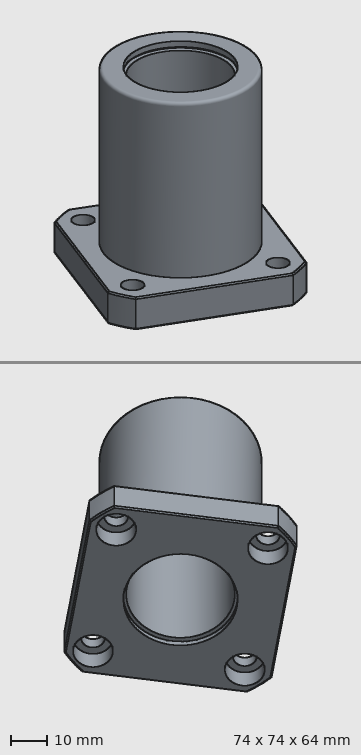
import cadquery as cq

total_height = 64.0
flange_diameter = 73.95
flange_side = 58.0
flange_thickness = 10.0
flange_chamfer = 0.45

sleeve_diameter = 44.95
sleeve_rim_fillet = 1.0
bore_diameter = 30.0
mouth_diameter = 31.6
mouth_depth = 1.8
groove_diameter = 33.2
groove_width = 0.75

hole_diameter = 6.6
counterbore_diameter = 11.0
counterbore_depth = 6.1
hole_circle_diameter = 60.0
hole_count = 4


def make_cylinder(diameter, bottom, height):
    """Upright cylinder centred on the Z axis."""
    return cq.Workplane("XY", origin=(0, 0, bottom)).circle(diameter / 2).extrude(height)


def make_flange():
    """Square plate standing on its corners, with the corners turned round."""
    disc = make_cylinder(flange_diameter, 0, flange_thickness)
    square = (
        cq.Workplane("XY")
        .transformed(rotate=(0, 0, 45))
        .rect(flange_side, flange_side)
        .extrude(flange_thickness)
    )
    return disc.intersect(square).faces("<Z or >Z").chamfer(flange_chamfer)


def make_sleeve():
    """Upright cylinder with a rounded top rim."""
    sleeve = make_cylinder(sleeve_diameter, 0, total_height)
    return sleeve.faces(">Z").edges().fillet(sleeve_rim_fillet)


def cut_bore(body):
    """Through bore; at each end a wider mouth leads to an undercut groove."""
    mouth_bottom = total_height - mouth_depth
    groove_bottom = mouth_bottom - groove_width
    cutters = (
        make_cylinder(bore_diameter, 0, total_height),
        make_cylinder(mouth_diameter, 0, mouth_depth),
        make_cylinder(mouth_diameter, mouth_bottom, mouth_depth),
        make_cylinder(groove_diameter, mouth_depth, groove_width),
        make_cylinder(groove_diameter, groove_bottom, groove_width),
    )
    for cutter in cutters:
        body = body.cut(cutter)
    return body


def cut_mounting_holes(body):
    """Holes near the flange corners, counterbored from the underside."""
    for diameter, depth in (
        (hole_diameter, flange_thickness),
        (counterbore_diameter, counterbore_depth),
    ):
        holes = (
            cq.Workplane("XY")
            .polarArray(hole_circle_diameter / 2, 0, 360, hole_count)
            .circle(diameter / 2)
            .extrude(depth)
        )
        body = body.cut(holes)
    return body


body = make_flange().union(make_sleeve())
body = cut_bore(body)
result = cut_mounting_holes(body)